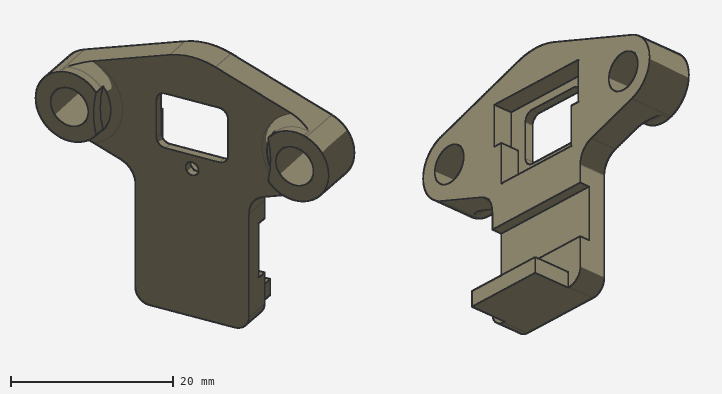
import cadquery as cq
import math

plate_thickness = 4.05
hub_radius = 9.95
ear_radius = 4.8
ear_offset = 20.65 - ear_radius
ear_hole_radius = 2.65
stem_width = 16.0
stem_bottom = -26.45
stem_corner_radius = 2.02
neck_fillet = 3.0

boss_height = 2.55
boss_radius = ear_radius + 0.012
boss_fillet = 1.25
clearance_radius = 12.45
clearance_floor = 0.83

window_width = 10.05
window_height = 7.65
window_corner_radius = 1.25
pin_hole_radius = 0.9
pin_hole_z = -5.75

window_skin = 1.25
pocket_width = 12.7
pocket_bottom = -6.65
pocket_step_z = -0.9
pocket_upper_width = 15.25
pocket_top = 5.05

groove_depth = 1.5
groove_top = -12.5
groove_height = 7.6
tab_width = 11.55
tab_length = 5.5
tab_thickness = 2.23

boss_depth = plate_thickness + boss_height


def prism(sketch, depth):
    """Extrude an XZ profile from the back face, toward the front if depth is positive."""
    return sketch.extrude(depth)


def profile():
    return cq.Workplane("XZ")


def block(width, bottom, top, depth):
    """Centred block from the back face, between two heights."""
    return prism(profile().center(0, (bottom + top) / 2).rect(width, top - bottom), depth)


def tangent_points():
    """Where the upper right edge touches the hub and ear circles: hub x, z, then ear x, z."""
    sine = (hub_radius - ear_radius) / ear_offset
    cosine = math.sqrt(1 - sine**2)
    return (
        hub_radius * sine,
        hub_radius * cosine,
        ear_offset + ear_radius * sine,
        ear_radius * cosine,
    )


def wing_outline():
    """Hub and ears joined by their common outer tangents."""
    hub_x, hub_z, ear_x, ear_z = tangent_points()
    return (
        profile()
        .moveTo(-hub_x, hub_z)
        .threePointArc((0, hub_radius), (hub_x, hub_z))
        .lineTo(ear_x, ear_z)
        .threePointArc((ear_offset + ear_radius, 0), (ear_x, -ear_z))
        .lineTo(hub_x, -hub_z)
        .threePointArc((0, -hub_radius), (-hub_x, -hub_z))
        .lineTo(-ear_x, -ear_z)
        .threePointArc((-ear_offset - ear_radius, 0), (-ear_x, ear_z))
        .close()
    )


def make_body():
    """Wings with bosses, joined to the stem with filleted necks."""
    stem = block(stem_width, stem_bottom, 0, plate_thickness)
    stem = stem.edges("|Y and <Z").fillet(stem_corner_radius)
    wings = prism(wing_outline(), boss_depth).cut(make_front_relief()).cut(make_clearance())
    neck = cq.selectors.BoxSelector(
        (-stem_width / 2 - 0.4, -plate_thickness, -hub_radius),
        (stem_width / 2 + 0.4, 0, -ear_radius),
    )
    return wings.union(stem).edges("|Y").edges(neck).fillet(neck_fillet)


def make_boss(side):
    """Ear boss with a concave foot, revolved about the ear axis."""
    foot_top = plate_thickness + boss_fillet
    foot_radius = boss_radius + boss_fillet
    bend = boss_fillet * (1 - math.sqrt(0.5))
    return (
        cq.Workplane("XY")
        .lineTo(foot_radius, 0)
        .lineTo(foot_radius, -plate_thickness)
        .threePointArc((boss_radius + bend, -plate_thickness - bend), (boss_radius, -foot_top))
        .lineTo(boss_radius, -boss_depth)
        .lineTo(0, -boss_depth)
        .close()
        .revolve(360, (0, 0), (0, 1))
        .translate((side * ear_offset, 0, 0))
    )


def make_front_relief():
    """Material in front of the plate, between the ears, that is cleared around the bosses."""
    ear_x = tangent_points()[2]
    relief = (
        profile()
        .workplane(offset=plate_thickness)
        .rect(2 * ear_x, 4 * hub_radius)
        .extrude(2 * boss_height)
    )
    for side in (-1, 1):
        relief = relief.cut(make_boss(side))
    return relief


def make_clearance():
    """Round clearance about the hub that trims the inner side of each boss."""
    return (
        profile()
        .workplane(offset=plate_thickness + clearance_floor)
        .circle(clearance_radius)
        .extrude(boss_height)
    )


def make_openings():
    window = block(window_width, -window_height / 2, window_height / 2, plate_thickness)
    window = window.edges("|Y").fillet(window_corner_radius)
    pin_hole = prism(profile().center(0, pin_hole_z).circle(pin_hole_radius), plate_thickness)
    ear_holes = prism(
        profile().pushPoints([(-ear_offset, 0), (ear_offset, 0)]).circle(ear_hole_radius), boss_depth
    )
    return window.union(pin_hole).union(ear_holes)


def make_window_pocket():
    """Back pocket leaving a thin skin at the window, wider above its step."""
    depth = plate_thickness - window_skin
    lower = block(pocket_width, pocket_bottom, pocket_top, depth)
    upper = block(pocket_upper_width, pocket_step_z, pocket_top, depth)
    return lower.union(upper)


def make_groove():
    """Groove across the full width of the stem back."""
    return block(stem_width, groove_top - groove_height, groove_top, groove_depth)


def make_tab():
    """Tab standing out of the back face, flush with the stem bottom."""
    return block(tab_width, stem_bottom, stem_bottom + tab_thickness, -tab_length)


body = make_body()
body = body.cut(make_openings()).cut(make_window_pocket()).cut(make_groove())
result = body.union(make_tab())